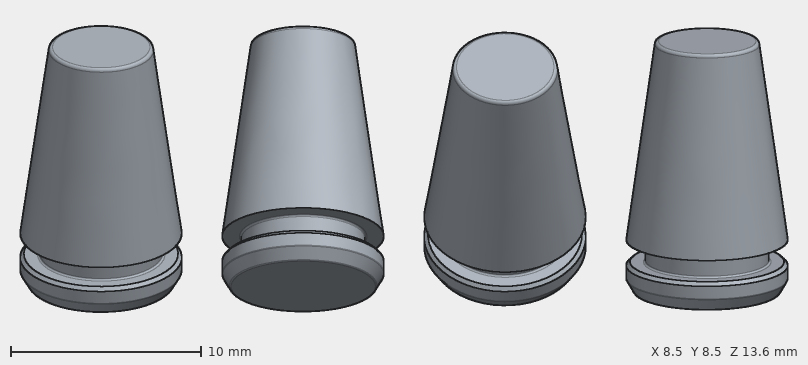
import cadquery as cq
import math

total_height = 13.6
flange_height = 1.6
groove_height = 1.2
head_base_z = flange_height + groove_height

outer_radius = 8.5 / 2
groove_radius = 6.5 / 2

taper_angle = 8.0
tip_fillet = 0.2
groove_fillet = 0.1
flange_top_chamfer = 0.2
foot_chamfer_height = 0.7
foot_chamfer_angle = 30.0
foot_edge_fillet = 0.1

foot_radius = outer_radius - foot_chamfer_height * math.tan(math.radians(foot_chamfer_angle))
head_height = total_height - head_base_z
tip_radius = outer_radius - head_height * math.tan(math.radians(taper_angle))


def circle_at(radius, height):
    """Select circular edges up to the given radius at the given height."""
    margin = 0.01
    reach = radius + margin
    return cq.selectors.BoxSelector(
        (-reach, -reach, height - margin),
        (reach, reach, height + margin),
        boundingbox=True,
    )


def make_body():
    """Revolve the half profile: foot flange, groove and tapered head."""
    half_profile = (
        cq.Workplane("XZ")
        .moveTo(0, 0)
        .lineTo(foot_radius, 0)
        .lineTo(outer_radius, foot_chamfer_height)
        .lineTo(outer_radius, flange_height - flange_top_chamfer)
        .lineTo(outer_radius - flange_top_chamfer, flange_height)
        .lineTo(groove_radius, flange_height)
        .lineTo(groove_radius, head_base_z)
        .lineTo(outer_radius, head_base_z)
        .lineTo(tip_radius, total_height)
        .lineTo(0, total_height)
        .close()
    )
    return half_profile.revolve(360, (0, 0, 0), (0, 1, 0))


def round_edges(body):
    """Round the tip, both inner corners of the groove and the foot edges."""
    body = body.edges(circle_at(tip_radius, total_height)).fillet(tip_fillet)
    for corner_z in (flange_height, head_base_z):
        body = body.edges(circle_at(groove_radius, corner_z)).fillet(groove_fillet)
    body = body.edges(circle_at(outer_radius, foot_chamfer_height)).fillet(foot_edge_fillet)
    return body.edges(circle_at(foot_radius, 0)).fillet(foot_edge_fillet)


result = round_edges(make_body())